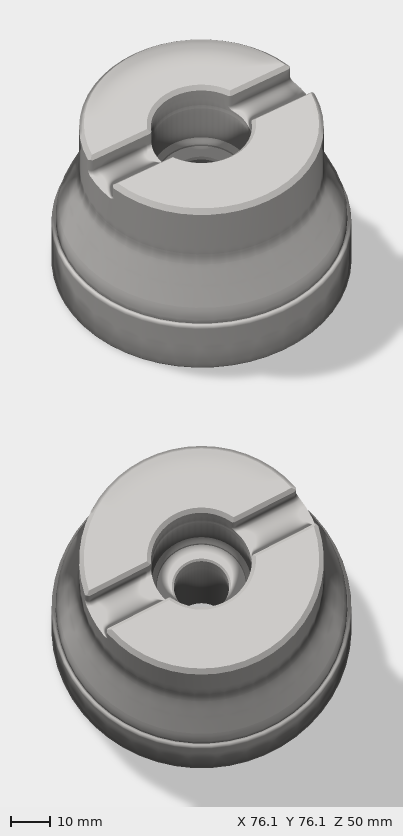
import cadquery as cq
import math

height = 50.0

hub_radius = 62.0 / 2
hub_chamfer = 1.2
hub_blend_top_z = 34.5
hub_blend_radius = 8.0

skirt_angle = math.radians(22.5)
seat_radius = 73.9 / 2
seat_blend_radius = 10.0

bore_radius = 25.41 / 2
bore_relief_radius = 25.6 / 2
bore_entry_chamfer = 1.05
bore_relief_depth = 6.35
bore_guide_depth = 7.45
bore_straight_depth = 18.0
bore_floor_chamfer = 1.25
bore_step_width = 0.15
bore_step_depth = 0.4

screw_radius = 14.0 / 2
screw_chamfer = 0.5

slot_width = 9.95
slot_depth = 5.7
slot_chamfer = 1.0
slot_rounding = 1.0

ring_radius = 76.08 / 2
ring_taper = 0.04
ring_top_radius = ring_radius - ring_taper
ring_land_z = 1.52
ring_height = 15.45
ring_corner_radius = 0.9


def blend_points(start, blend_radius, side):
    """Middle and end of an arc that leaves `start` along Z and turns to the skirt angle.

    `side` is +1 for an arc that runs down and outward, -1 for one that runs up and inward.
    """
    r, z = start
    points = []
    for angle in (skirt_angle / 2, skirt_angle):
        r_shift = side * blend_radius * (1 - math.cos(angle))
        z_shift = -side * blend_radius * math.sin(angle)
        points.append((r + r_shift, z + z_shift))
    return points


def make_holder_blank():
    hub_foot = (hub_radius, hub_blend_top_z)
    hub_mid, hub_end = blend_points(hub_foot, hub_blend_radius, 1)
    skirt_end_radius = seat_radius - seat_blend_radius * (1 - math.cos(skirt_angle))
    skirt_end_z = hub_end[1] - (skirt_end_radius - hub_end[0]) / math.tan(skirt_angle)
    seat_top = (seat_radius, skirt_end_z - seat_blend_radius * math.sin(skirt_angle))
    seat_mid, seat_end = blend_points(seat_top, seat_blend_radius, -1)
    return (
        cq.Workplane("XZ")
        .moveTo(0, 0)
        .lineTo(seat_radius, 0)
        .lineTo(*seat_top)
        .threePointArc(seat_mid, seat_end)
        .lineTo(*hub_end)
        .threePointArc(hub_mid, hub_foot)
        .lineTo(hub_radius, height - hub_chamfer)
        .lineTo(hub_radius - hub_chamfer, height)
        .lineTo(0, height)
        .close()
        .revolve(360, (0, 0), (0, 1))
    )


def make_bore():
    step_radius = bore_radius - bore_floor_chamfer
    step_z = height - bore_straight_depth - bore_floor_chamfer
    floor_z = step_z - bore_step_depth
    return (
        cq.Workplane("XZ")
        .moveTo(0, 0)
        .lineTo(screw_radius, 0)
        .lineTo(screw_radius, floor_z - screw_chamfer)
        .lineTo(screw_radius + screw_chamfer, floor_z)
        .lineTo(step_radius - bore_step_width, floor_z)
        .lineTo(step_radius, step_z)
        .lineTo(bore_radius, height - bore_straight_depth)
        .lineTo(bore_radius, height - bore_guide_depth)
        .lineTo(bore_relief_radius, height - bore_relief_depth)
        .lineTo(bore_relief_radius, height - bore_entry_chamfer)
        .lineTo(bore_relief_radius + bore_entry_chamfer, height)
        .lineTo(0, height)
        .close()
        .revolve(360, (0, 0), (0, 1))
    )


def make_slot():
    """Room around the two drive lobes: the slot with rounded mouths and rounded floor corners."""
    floor = cq.Workplane("XY").workplane(offset=height - slot_depth)
    lobes = (
        floor.circle(hub_radius)
        .circle(bore_relief_radius)
        .extrude(slot_depth)
        .cut(floor.rect(slot_width, 2 * seat_radius).extrude(slot_depth))
    )
    slot_corners = cq.selectors.BoxSelector(
        (-slot_width, -hub_radius, 0),
        (slot_width, hub_radius, height),
    )
    lobes = lobes.edges("|Z").edges(slot_corners).fillet(slot_rounding)
    room = floor.circle(seat_radius).extrude(slot_depth).cut(lobes)
    return room.faces("<Z").edges().fillet(slot_rounding)


def make_slot_chamfers():
    half = slot_width / 2
    return (
        cq.Workplane("XZ")
        .moveTo(-half - slot_chamfer, height)
        .lineTo(-half, height - slot_chamfer)
        .lineTo(half, height - slot_chamfer)
        .lineTo(half + slot_chamfer, height)
        .close()
        .extrude(seat_radius, both=True)
    )


def make_ring():
    """Sleeve with a short land above its lower corner and a slight taper above the land."""
    return (
        cq.Workplane("XZ")
        .moveTo(seat_radius, 0)
        .lineTo(ring_radius - ring_corner_radius, 0)
        .radiusArc((ring_radius, ring_corner_radius), -ring_corner_radius)
        .lineTo(ring_radius, ring_land_z)
        .lineTo(ring_top_radius, ring_height - ring_corner_radius)
        .radiusArc((ring_top_radius - ring_corner_radius, ring_height), -ring_corner_radius)
        .lineTo(seat_radius, ring_height)
        .close()
        .revolve(360, (0, 0), (0, 1))
    )


holder = make_holder_blank().cut(make_bore()).cut(make_slot()).cut(make_slot_chamfers())
ring = make_ring()

result = cq.Compound.makeCompound([holder.val(), ring.val()])